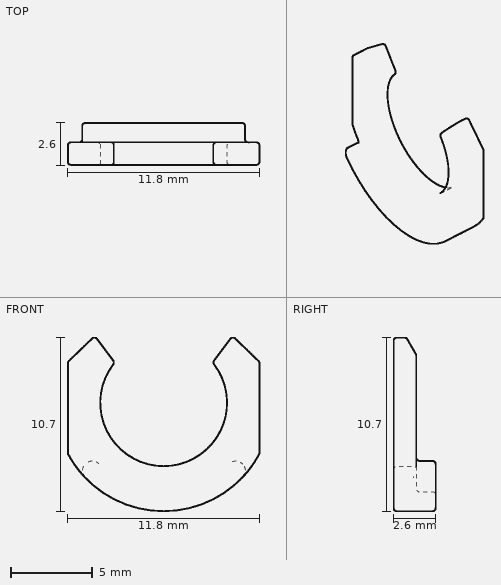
import cadquery as cq
import math

width = 11.8
half_width = width / 2
outer_radius = 6.68
bore_radius = 3.89
plate_thickness = 1.4
edge_radius = 0.2

tip_x = 4.24
tip_z = 4.12
shoulder_z = 2.51
mouth_angle = 39.5

slope_start_z = 2.95
slope_angle = 60.0

total_depth = 2.6
rib_width = 1.2
rib_end_angle = 43.4


def polar(radius, degrees):
    angle = math.radians(degrees)
    return radius * math.cos(angle), radius * math.sin(angle)


def mirrored(point):
    return -point[0], point[1]


def xz_sketch():
    return cq.Workplane("XZ")


def make_plate():
    mouth = polar(bore_radius, mouth_angle)
    shoulder = (half_width, shoulder_z)
    flat_end = (half_width, -math.sqrt(outer_radius**2 - half_width**2))
    tip = (tip_x, tip_z)
    return (
        xz_sketch()
        .moveTo(*mouth)
        .lineTo(*tip)
        .lineTo(*shoulder)
        .lineTo(*flat_end)
        .threePointArc((0, -outer_radius), mirrored(flat_end))
        .lineTo(*mirrored(shoulder))
        .lineTo(*mirrored(tip))
        .lineTo(*mirrored(mouth))
        .threePointArc((0, -bore_radius), mouth)
        .close()
        .extrude(-plate_thickness)
    )


def make_tip_slope_cutter():
    slope_depth = plate_thickness / 2
    slope_height = slope_depth * math.tan(math.radians(slope_angle))
    return (
        cq.Workplane("YZ")
        .moveTo(plate_thickness, slope_start_z)
        .lineTo(plate_thickness - 2 * slope_depth, slope_start_z + 2 * slope_height)
        .lineTo(plate_thickness, slope_start_z + 2 * slope_height)
        .close()
        .extrude(half_width, both=True)
    )


def make_rib():
    inner_radius = outer_radius - rib_width
    middle_radius = outer_radius - rib_width / 2
    outer_end = polar(outer_radius, -rib_end_angle)
    inner_end = polar(inner_radius, -rib_end_angle)
    centre = polar(middle_radius, -rib_end_angle)
    bulge = polar(rib_width / 2, 90 - rib_end_angle)
    cap_top = (centre[0] + bulge[0], centre[1] + bulge[1])
    base_y = plate_thickness / 2
    return (
        xz_sketch()
        .workplane(offset=-base_y)
        .moveTo(*outer_end)
        .threePointArc((0, -outer_radius), mirrored(outer_end))
        .threePointArc(mirrored(cap_top), mirrored(inner_end))
        .threePointArc((0, -inner_radius), inner_end)
        .threePointArc(cap_top, outer_end)
        .close()
        .extrude(base_y - total_depth)
        .faces(">Y")
        .edges()
        .fillet(edge_radius)
    )


plate = make_plate().cut(make_tip_slope_cutter()).edges().fillet(edge_radius)
body = plate.union(make_rib())

selection_margin = 0.001
root_edges = cq.selectors.BoxSelector(
    (-half_width, plate_thickness - selection_margin, -outer_radius),
    (half_width, plate_thickness + selection_margin, -bore_radius / 2),
    boundingbox=True,
)
result = body.edges(root_edges).fillet(edge_radius)